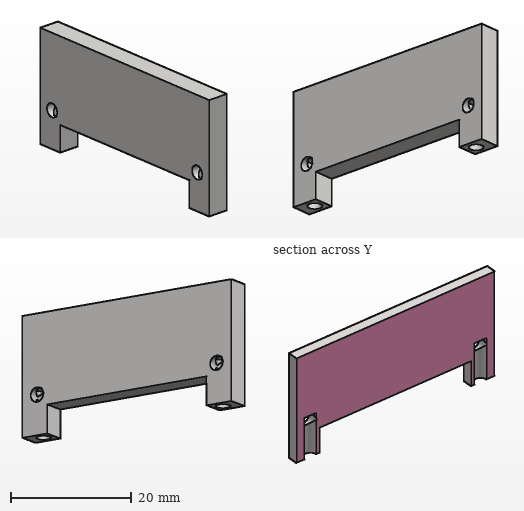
import cadquery as cq

length = 42.0
thickness = 4.0
height = length / 2

leg_width = 5.0
leg_height = leg_width

cross_hole_diameter = 2.5
hole_edge_distance = 3.0
cross_hole_height = 7.0
hole_x_positions = [side * (length / 2 - hole_edge_distance) for side in (-1, 1)]

foot_hole_diameter = 2.48
foot_hole_depth = cross_hole_height + cross_hole_diameter / 2

plate = cq.Workplane("XY").box(length, thickness, height, centered=(True, True, False))

notch = cq.Workplane("XY").box(
    length - 2 * leg_width, thickness, leg_height, centered=(True, True, False)
)

cross_holes = (
    cq.Workplane("XZ")
    .pushPoints([(x, cross_hole_height) for x in hole_x_positions])
    .circle(cross_hole_diameter / 2)
    .extrude(thickness, both=True)
)

foot_holes = (
    cq.Workplane("XY")
    .pushPoints([(x, 0) for x in hole_x_positions])
    .circle(foot_hole_diameter / 2)
    .extrude(foot_hole_depth)
)

result = plate.cut(notch).cut(cross_holes).cut(foot_holes)